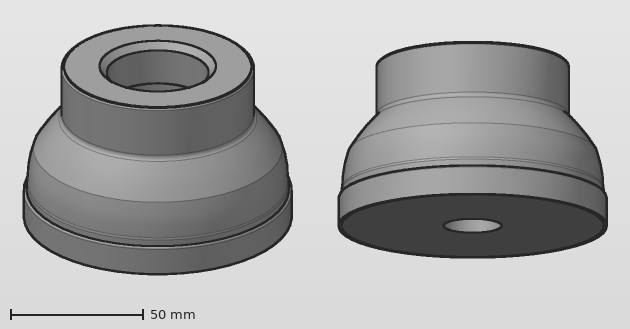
import cadquery as cq
import math

collar_radius = 50.8
collar_height = 11.3
collar_round = 0.8
seat_radius = 99.4 / 2

total_height = 63.0
neck_radius = 73.0 / 2
top_edge_radius = 71.0 / 2
top_edge_height = 61.9
top_step = 0.4
neck_base_height = 43.2
shoulder_top_height = 41.0
shoulder_top_radius = 37.5
shoulder_base_height = 28.6
shoulder_base_radius = 47.1
dome_base_height = 14.7
dome_base_radius = 49.5
foot_top_height = 13.8

neck_round_middle = (36.7, 42.0)
shoulder_middle = (42.7, 35.1)
dome_middle = (48.9, 21.7)

through_radius = 22.0 / 2
bore_radius = 38.6 / 2
lower_bore_radius = 38.1 / 2
bore_chamfer = 2.7
bore_step_height = 46.4
floor_height = 37.1
floor_round = 0.8


def corner_arc_middle(corner_radius, corner_height, radial_size, axial_size):
    """Middle of a quarter arc that rounds an outward corner of a radial section.

    A positive axial size reaches up from the corner, a negative one down.
    """
    share = 1 - math.sqrt(0.5)
    return corner_radius - share * radial_size, corner_height + share * axial_size


def make_housing():
    """Revolved domed body with a neck, a stepped bore and a through hole."""
    floor_round_middle = corner_arc_middle(lower_bore_radius, floor_height, floor_round, floor_round)
    top_round_height = total_height - top_step
    top_round_drop = top_round_height - top_edge_height
    top_round_middle = corner_arc_middle(
        neck_radius, top_round_height, neck_radius - top_edge_radius, -top_round_drop
    )
    profile = (
        cq.Workplane("XZ")
        .moveTo(through_radius, 0)
        .lineTo(seat_radius, 0)
        .lineTo(seat_radius, foot_top_height)
        .lineTo(dome_base_radius, dome_base_height)
        .threePointArc(dome_middle, (shoulder_base_radius, shoulder_base_height))
        .threePointArc(shoulder_middle, (shoulder_top_radius, shoulder_top_height))
        .threePointArc(neck_round_middle, (neck_radius, neck_base_height))
        .lineTo(neck_radius, top_edge_height)
        .threePointArc(top_round_middle, (top_edge_radius, top_round_height))
        .lineTo(top_edge_radius, total_height)
        .lineTo(bore_radius + bore_chamfer, total_height)
        .lineTo(bore_radius, total_height - bore_chamfer)
        .lineTo(bore_radius, bore_step_height)
        .lineTo(lower_bore_radius, bore_step_height)
        .lineTo(lower_bore_radius, floor_height + floor_round)
        .threePointArc(floor_round_middle, (lower_bore_radius - floor_round, floor_height))
        .lineTo(through_radius, floor_height)
        .close()
    )
    return profile.revolve(360, (0, 0, 0), (0, 1, 0))


def make_collar():
    """Ring fitted around the foot, with a rounded upper outer edge."""
    round_middle = corner_arc_middle(collar_radius, collar_height, collar_round, -collar_round)
    profile = (
        cq.Workplane("XZ")
        .moveTo(seat_radius, 0)
        .lineTo(collar_radius, 0)
        .lineTo(collar_radius, collar_height - collar_round)
        .threePointArc(round_middle, (collar_radius - collar_round, collar_height))
        .lineTo(seat_radius, collar_height)
        .close()
    )
    return profile.revolve(360, (0, 0, 0), (0, 1, 0))


housing = make_housing()
collar = make_collar()
result = cq.Compound.makeCompound([housing.val(), collar.val()])